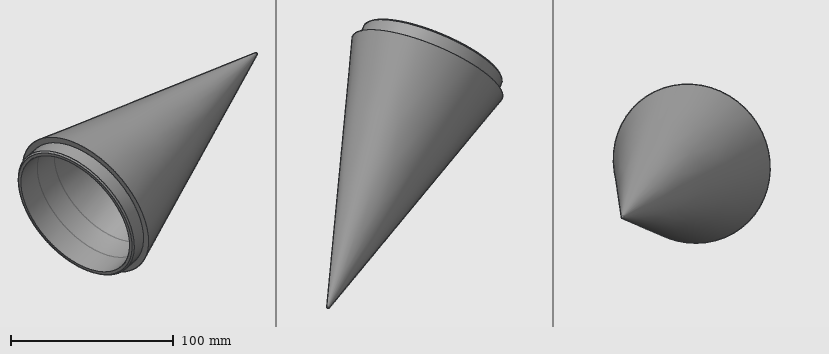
import cadquery as cq
import math

base_radius = 50.0
sharp_height = 170.0
tip_radius = 1.0

spigot_radius = 46.0
spigot_length = 10.0
spigot_chamfer = 1.0

bore_radius = 43.0
blend_radius = 50.0
wall_thickness = 3.0

half_angle = math.atan(base_radius / sharp_height)

mouth_y = -spigot_length
cavity_apex_y = sharp_height - wall_thickness / math.sin(half_angle)
bore_meets_cone_y = cavity_apex_y - bore_radius / math.tan(half_angle)
blend_start_y = bore_meets_cone_y - blend_radius * math.tan(half_angle / 2)


def start_profile():
    """Half profile in the YZ plane: points are (distance along Y, radius)."""
    return cq.Workplane("YZ").moveTo(mouth_y, 0)


def revolve_about_y(profile):
    return profile.close().revolve(360, (0, 0, 0), (1, 0, 0))


def make_body():
    ball_center_y = sharp_height - tip_radius / math.sin(half_angle)
    mid_angle = (half_angle + math.pi / 2) / 2

    def ball_point(angle):
        return (ball_center_y + tip_radius * math.sin(angle), tip_radius * math.cos(angle))

    profile = (
        start_profile()
        .lineTo(mouth_y, spigot_radius - spigot_chamfer)
        .lineTo(mouth_y + spigot_chamfer, spigot_radius)
        .lineTo(0, spigot_radius)
        .lineTo(0, base_radius)
        .lineTo(*ball_point(half_angle))
        .threePointArc(ball_point(mid_angle), (ball_center_y + tip_radius, 0))
    )
    return revolve_about_y(profile)


def make_cavity():
    def blend_point(angle):
        return (
            blend_start_y + blend_radius * math.sin(angle),
            bore_radius - blend_radius * (1 - math.cos(angle)),
        )

    profile = (
        start_profile()
        .lineTo(mouth_y, bore_radius)
        .lineTo(blend_start_y, bore_radius)
        .threePointArc(blend_point(half_angle / 2), blend_point(half_angle))
        .lineTo(cavity_apex_y, 0)
    )
    return revolve_about_y(profile)


result = make_body().cut(make_cavity())